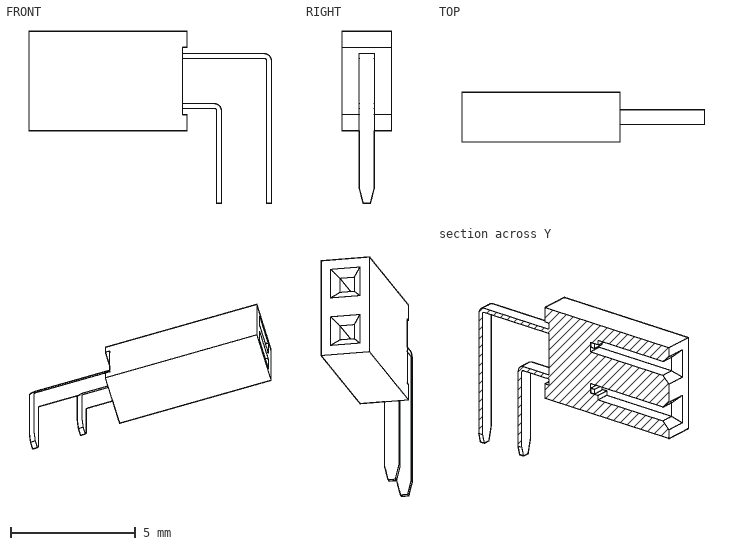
import cadquery as cq


pitch = 2.0
contact_count = 2
body_length = 6.34
body_width = pitch
body_height = contact_count * pitch
recess_depth = 0.18
recess_lip = 0.65

mouth_size = 1.21
bore_size = 0.59
funnel_depth = (mouth_size - bore_size) / 2
socket_depth = 4.0
shelf_length = 0.39
tongue_width = 0.5
tongue_length = 0.19

total_length = 9.72
total_height = 6.9
lead_thickness = 0.2
lead_width = 0.6
bend_outer_radius = 0.3
bend_inner_radius = 0.07
tip_length = 0.59
tip_width = 0.3
lead_embed = 0.19

recess_x = body_length - recess_depth
lead_bottom = body_height - total_height


def box(x_min, x_max, width, z_min, z_max):
    """Block centred on Y = 0."""
    return (
        cq.Workplane("XY")
        .box(x_max - x_min, width, z_max - z_min, centered=(False, True, False))
        .translate((x_min, 0, z_min))
    )


def make_housing():
    """Plain block with a shallow recess across its rear face."""
    block = box(0, body_length, body_width, 0, body_height)
    recess = box(recess_x, body_length, body_width, recess_lip, body_height - recess_lip)
    return block.cut(recess)


def make_socket(center_z):
    """Square bore with a tapered mouth."""
    funnel = (
        cq.Workplane("YZ")
        .center(0, center_z)
        .rect(mouth_size, mouth_size)
        .workplane(offset=funnel_depth)
        .rect(bore_size, bore_size)
        .loft(ruled=True)
    )
    bore = box(0, socket_depth, bore_size, center_z - bore_size / 2, center_z + bore_size / 2)
    return funnel.union(bore)


def make_socket_floor(center_z, outward):
    """Contact tongue and a longer shelf on its outward side (+1 is up, -1 is down)."""
    tongue_half = lead_thickness / 2
    tongue = box(
        socket_depth - tongue_length,
        socket_depth,
        tongue_width,
        center_z - tongue_half,
        center_z + tongue_half,
    )
    shelf_edges = sorted((center_z + outward * tongue_half, center_z + outward * bore_size / 2))
    shelf = box(socket_depth - shelf_length, socket_depth, bore_size, *shelf_edges)
    return tongue.union(shelf)


def make_lead(center_z, outer_x):
    """Flat strip bent down once, with its sides tapered at the tip."""
    start_x = recess_x - lead_embed
    top_z = center_z + lead_thickness / 2
    strip = (
        box(start_x, outer_x, lead_width, lead_bottom, top_z)
        .edges("|Y and >X and >Z")
        .fillet(bend_outer_radius)
    )
    inside = (
        box(start_x, outer_x - lead_thickness, lead_width, lead_bottom, top_z - lead_thickness)
        .edges("|Y and >X and >Z")
        .fillet(bend_inner_radius)
    )
    front_outline = (
        cq.Workplane("YZ", origin=(start_x, 0, 0))
        .moveTo(-tip_width / 2, lead_bottom)
        .lineTo(tip_width / 2, lead_bottom)
        .lineTo(lead_width / 2, lead_bottom + tip_length)
        .lineTo(lead_width / 2, top_z)
        .lineTo(-lead_width / 2, top_z)
        .lineTo(-lead_width / 2, lead_bottom + tip_length)
        .close()
        .extrude(outer_x - start_x)
    )
    return strip.cut(inside).intersect(front_outline)


result = make_housing()
for index in range(contact_count):
    contact_z = (index + 0.5) * pitch
    outward_side = 1 if contact_z > body_height / 2 else -1
    lead_outer_x = total_length - (contact_count - 1 - index) * pitch
    result = result.cut(make_socket(contact_z))
    result = result.union(make_socket_floor(contact_z, outward_side))
    result = result.union(make_lead(contact_z, lead_outer_x))